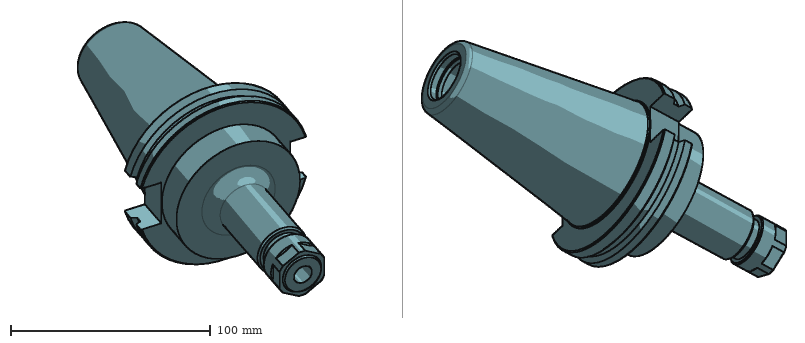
import cadquery as cq
import math

TOTAL_LENGTH = 206.8

TAPER_RATE = 7 / 24
GAUGE_DIAMETER = 70.0
GAUGE_X = 101.7
TAPER_END_FILLET = 2.5

FLANGE_DIAMETER = 97.4
FLANGE_START_X = 103.0
FLANGE_END_X = 121.0
FLANGE_CHAMFER = 0.6
COLLAR_DIAMETER = 71.3
COLLAR_CHAMFER = (COLLAR_DIAMETER - GAUGE_DIAMETER) / 2

GROOVE_START_X = 109.5
GROOVE_END_X = 116.0
GROOVE_DEPTH = 2.9
GROOVE_FLANK_ANGLE = 30.0
GROOVE_FLANK = GROOVE_DEPTH * math.tan(math.radians(GROOVE_FLANK_ANGLE))

SLOT_WIDTH = 25.6
SLOT_FLOOR_PLUS_Y = 37.8
SLOT_FLOOR_MINUS_Y = 35.4

HUB_DIAMETER = 70.0
HUB_END_X = 136.7
SHANK_DIAMETER = 28.0
SHANK_END_X = 185.0
SHANK_FILLET = 6.8
SHANK_CHAMFER = 1.0
NECK_DIAMETER = 22.1

BORE_MOUTH_DIAMETER = 27.5
COUNTERBORE_DIAMETER = 25.5
COUNTERBORE_DEPTH = 4.5
PILOT_DIAMETER = 25.0
PILOT_LENGTH = 0.8
BORE_DIAMETER = 22.1
BORE_DEPTH = 82.7
BORE_CONE_ANGLE = 118.0
THROUGH_DIAMETER = 10.1

NUT_START_X = 189.8
NUT_DIAMETER = 27.5
NUT_CHAMFER = 0.6
FLATS_START_X = 198.3
FLATS_SHOULDER_ANGLE = 30.0
FLATS_CUT_DEPTH = 1.2
NUT_FACE_X = 205.7
FLAT_COUNT = 6
ACROSS_FLATS = 25.5
NOSE_DIAMETER = 22.0
NOSE_END_DIAMETER = 20.5


def revolve_about_x(outline):
    """Close an (x, radius) outline and turn it about the X axis."""
    return outline.close().revolve(360, (0, 0, 0), (1, 0, 0))


def holder_blank():
    """Taper, flange, hub, shank and neck as one turned shape."""
    taper_end_radius = (GAUGE_DIAMETER - GAUGE_X * TAPER_RATE) / 2
    flange_radius = FLANGE_DIAMETER / 2
    flange_edge_radius = flange_radius - FLANGE_CHAMFER
    groove_radius = flange_radius - GROOVE_DEPTH
    collar_radius = COLLAR_DIAMETER / 2
    hub_radius = HUB_DIAMETER / 2
    shank_radius = SHANK_DIAMETER / 2
    neck_radius = NECK_DIAMETER / 2
    outline = (
        cq.Workplane("XY")
        .moveTo(0, 0)
        .lineTo(0, taper_end_radius)
        .lineTo(GAUGE_X, GAUGE_DIAMETER / 2)
        .lineTo(GAUGE_X + COLLAR_CHAMFER, collar_radius)
        .lineTo(FLANGE_START_X, collar_radius)
        .lineTo(FLANGE_START_X, flange_edge_radius)
        .lineTo(FLANGE_START_X + FLANGE_CHAMFER, flange_radius)
        .lineTo(GROOVE_START_X, flange_radius)
        .lineTo(GROOVE_START_X + GROOVE_FLANK, groove_radius)
        .lineTo(GROOVE_END_X - GROOVE_FLANK, groove_radius)
        .lineTo(GROOVE_END_X, flange_radius)
        .lineTo(FLANGE_END_X - FLANGE_CHAMFER, flange_radius)
        .lineTo(FLANGE_END_X, flange_edge_radius)
        .lineTo(FLANGE_END_X, hub_radius)
        .lineTo(HUB_END_X, hub_radius)
        .lineTo(HUB_END_X, shank_radius + SHANK_FILLET)
        .radiusArc((HUB_END_X + SHANK_FILLET, shank_radius), -SHANK_FILLET)
        .lineTo(SHANK_END_X - SHANK_CHAMFER, shank_radius)
        .lineTo(SHANK_END_X, shank_radius - SHANK_CHAMFER)
        .lineTo(SHANK_END_X, neck_radius)
        .lineTo(NUT_START_X, neck_radius)
        .lineTo(NUT_START_X, 0)
    )
    return revolve_about_x(outline).faces("<X").edges().fillet(TAPER_END_FILLET)


def drawbar_bore():
    """Stepped bore from the taper end, with its cone and the coolant hole."""
    mouth_chamfer = (BORE_MOUTH_DIAMETER - COUNTERBORE_DIAMETER) / 2
    pilot_end_x = COUNTERBORE_DEPTH + PILOT_LENGTH
    pilot_chamfer = (PILOT_DIAMETER - BORE_DIAMETER) / 2
    cone_length = (BORE_DIAMETER - THROUGH_DIAMETER) / 2 / math.tan(math.radians(BORE_CONE_ANGLE / 2))
    outline = (
        cq.Workplane("XY")
        .moveTo(0, 0)
        .lineTo(0, BORE_MOUTH_DIAMETER / 2)
        .lineTo(mouth_chamfer, COUNTERBORE_DIAMETER / 2)
        .lineTo(COUNTERBORE_DEPTH, COUNTERBORE_DIAMETER / 2)
        .lineTo(COUNTERBORE_DEPTH, PILOT_DIAMETER / 2)
        .lineTo(pilot_end_x, PILOT_DIAMETER / 2)
        .lineTo(pilot_end_x + pilot_chamfer, BORE_DIAMETER / 2)
        .lineTo(BORE_DEPTH, BORE_DIAMETER / 2)
        .lineTo(BORE_DEPTH + cone_length, THROUGH_DIAMETER / 2)
        .lineTo(TOTAL_LENGTH, THROUGH_DIAMETER / 2)
        .lineTo(TOTAL_LENGTH, 0)
    )
    return revolve_about_x(outline)


def drive_slot(side, floor):
    """Cutter for one drive slot; side is +1 or -1 along Y."""
    slot_length = FLANGE_END_X - FLANGE_START_X
    slot_depth = FLANGE_DIAMETER / 2 - floor
    return cq.Workplane("XY").box(slot_length, slot_depth, SLOT_WIDTH).translate(
        ((FLANGE_START_X + FLANGE_END_X) / 2, side * (floor + slot_depth / 2), 0)
    )


def make_holder():
    """Tool holder with its bore and the two drive slots."""
    holder = holder_blank().cut(drawbar_bore())
    holder = holder.cut(drive_slot(1, SLOT_FLOOR_PLUS_Y))
    return holder.cut(drive_slot(-1, SLOT_FLOOR_MINUS_Y))


def wrench_flats():
    """Cutter for the wrench flats: a ring with a conical shoulder around a hexagon."""
    nut_radius = NUT_DIAMETER / 2
    inner_radius = nut_radius - FLATS_CUT_DEPTH
    shoulder_length = FLATS_CUT_DEPTH * math.tan(math.radians(FLATS_SHOULDER_ANGLE))
    ring = revolve_about_x(
        cq.Workplane("XY")
        .moveTo(FLATS_START_X, nut_radius)
        .lineTo(FLATS_START_X + shoulder_length, inner_radius)
        .lineTo(TOTAL_LENGTH, inner_radius)
        .lineTo(TOTAL_LENGTH, nut_radius)
    )
    half_angle = 180 / FLAT_COUNT
    hexagon = (
        cq.Workplane("YZ", origin=(FLATS_START_X, 0, 0))
        .transformed(rotate=(0, 0, half_angle))
        .polygon(FLAT_COUNT, ACROSS_FLATS / math.cos(math.radians(half_angle)))
        .extrude(TOTAL_LENGTH - FLATS_START_X)
    )
    return ring.cut(hexagon)


def make_nut():
    """Clamping nut with wrench flats and a short nose."""
    nut_radius = NUT_DIAMETER / 2
    hole_radius = THROUGH_DIAMETER / 2
    outline = (
        cq.Workplane("XY")
        .moveTo(NUT_START_X, hole_radius)
        .lineTo(NUT_START_X, nut_radius - NUT_CHAMFER)
        .lineTo(NUT_START_X + NUT_CHAMFER, nut_radius)
        .lineTo(NUT_FACE_X, nut_radius)
        .lineTo(NUT_FACE_X, NOSE_DIAMETER / 2)
        .lineTo(TOTAL_LENGTH, NOSE_END_DIAMETER / 2)
        .lineTo(TOTAL_LENGTH, hole_radius)
    )
    return revolve_about_x(outline).cut(wrench_flats())


holder = make_holder()
nut = make_nut()
result = cq.Compound.makeCompound([holder.val(), nut.val()])